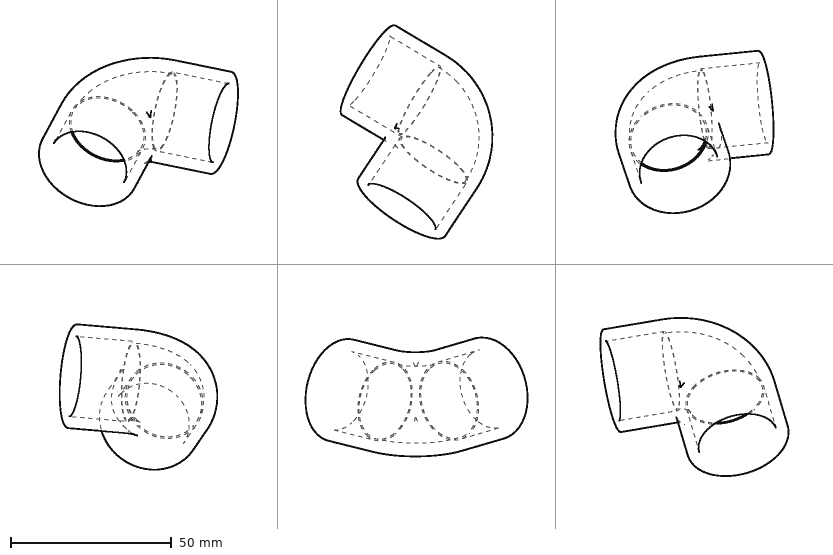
import cadquery as cq
import math

overall = 49.25
outer_d = 32.5
socket_d = 25.0
passage_d = 24.0
straight = 18.9
mouth_round = 0.5
crease_round = 0.5
crease_overrun = 1.5

outer_r = outer_d / 2
end = overall / 2
leg_axis = end - outer_r
pivot = end - straight
bend_r = pivot + leg_axis


def cylinder_pair(diameter, depth):
    """Cylinders reaching inward from the two open ends, along Y and along X."""
    along_y = cq.Workplane("XZ", origin=(-leg_axis, -end, 0)).circle(diameter / 2).extrude(-depth)
    along_x = cq.Workplane("YZ", origin=(end, leg_axis, 0)).circle(diameter / 2).extrude(-depth)
    return along_y, along_x


def pivot_plane():
    """Plane across the Y-directed end at its junction with the bend, centred on the bend axis."""
    return cq.Workplane("XZ", origin=(pivot, -pivot, 0))


def quarter_turn(profile):
    """Revolve a profile about the bend axis, from one straight end to the other."""
    return profile.revolve(90, (0, 0, 0), (0, -1, 0))


def outer_bend():
    """Solid bend whose round section stops at the bend axis, which it would otherwise cross."""
    half_height = math.sqrt(outer_r**2 - bend_r**2)
    profile = (
        pivot_plane()
        .moveTo(0, half_height)
        .threePointArc((-bend_r - outer_r, 0), (0, -half_height))
        .close()
    )
    return quarter_turn(profile)


def passage_bend():
    """Round bore joining the bottoms of the two sockets."""
    return quarter_turn(pivot_plane().moveTo(-bend_r, 0).circle(passage_d / 2))


def filleted_corner():
    """Inner corner of the crossing straight ends with its crease filleted, as far as the bend axis.

    Apart from the fillet it lies wholly within the straight ends.
    """
    along_y, along_x = cylinder_pair(outer_d, straight + crease_overrun)
    crossing = along_y.union(along_x).edges("%ELLIPSE").fillet(crease_round)
    beyond_bend_axis = (
        cq.Workplane("XY", origin=(pivot, -pivot, 0))
        .transformed(rotate=(0, 0, -45))
        .center(outer_r, 0)
        .rect(outer_d, outer_d)
        .extrude(outer_d, both=True)
    )
    return crossing.intersect(beyond_bend_axis)


def elbow():
    """Elbow with a socket in each open end and a narrower passage through the bend."""
    along_y, along_x = cylinder_pair(outer_d, straight)
    body = along_y.union(along_x).union(outer_bend()).union(filleted_corner())
    for socket in cylinder_pair(socket_d, straight):
        body = body.cut(socket)
    body = body.cut(passage_bend())
    return body.faces("<Y or >X").edges().fillet(mouth_round).solids()


housing = elbow()
result = cq.Compound.makeCompound([housing.val()])